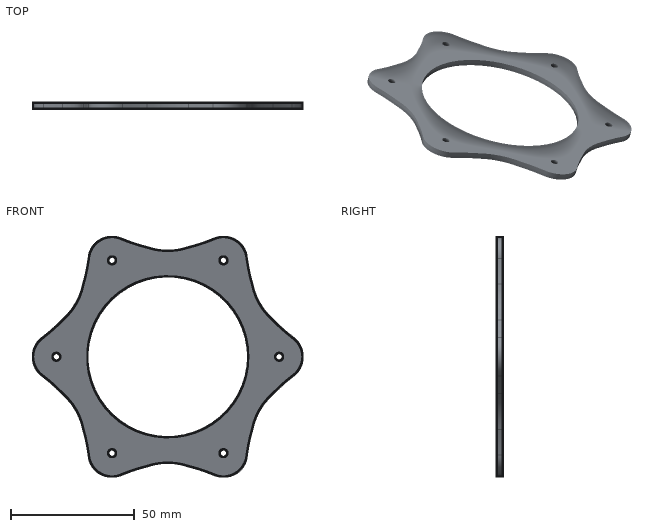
import cadquery as cq
import math

overall_width = 109.0
thickness = 2.5
bore_diameter = 65.0

lobe_count = 6
lobe_radius = 9.5
hole_diameter = 3.0
hole_circle_radius = overall_width / 2 - lobe_radius
lobe_step = 360 / lobe_count

valley_depth_radius = 42.8
valley_half_width = 8.4
valley_end_height = 44.3
flank_sagitta = 0.2
flank_contact_angle = 26.0


def polar(radius, angle):
    """Point at a radius and an angle in degrees from +X."""
    turn = math.radians(angle)
    return (radius * math.cos(turn), radius * math.sin(turn))


def turned(point, angle):
    """Point rotated about the plate centre by an angle in degrees."""
    x, y = point
    return polar(math.hypot(x, y), math.degrees(math.atan2(y, x)) + angle)


lobe_center = polar(hole_circle_radius, lobe_step / 2)
contact_offset = polar(lobe_radius, -flank_contact_angle)
contact = (lobe_center[0] + contact_offset[0], lobe_center[1] + contact_offset[1])
valley_end = (valley_end_height, valley_half_width)


def mirrored(point):
    """Point reflected across the valley axis."""
    return (point[0], -point[1])


def flank_middle():
    """Middle of the flank arc, bowed towards the plate centre."""
    run_x = contact[0] - valley_end[0]
    run_y = contact[1] - valley_end[1]
    bow = flank_sagitta / math.hypot(run_x, run_y)
    return (
        (valley_end[0] + contact[0]) / 2 - bow * run_y,
        (valley_end[1] + contact[1]) / 2 + bow * run_x,
    )


def back_plane():
    """Sketch plane on the +Y face, extruding towards -Y so the plate is centred."""
    return cq.Workplane("XZ", origin=(0, thickness / 2, 0))


def plate_outline():
    """Closed star outline, drawn valley by valley and lobe by lobe."""
    middle = flank_middle()
    first_valley = lobe_step / 2
    outline = back_plane().moveTo(*turned(mirrored(contact), first_valley))
    for i in range(lobe_count):
        axis = first_valley + i * lobe_step
        outline = (
            outline
            .threePointArc(turned(mirrored(middle), axis), turned(mirrored(valley_end), axis))
            .threePointArc(polar(valley_depth_radius, axis), turned(valley_end, axis))
            .threePointArc(turned(middle, axis), turned(contact, axis))
            .threePointArc(
                polar(overall_width / 2, axis + lobe_step / 2),
                turned(mirrored(contact), axis + lobe_step),
            )
        )
    return outline.close()


plate = plate_outline().extrude(thickness)

bore = back_plane().circle(bore_diameter / 2).extrude(thickness)

mounting_holes = (
    back_plane()
    .polarArray(hole_circle_radius, 0, 360, lobe_count)
    .circle(hole_diameter / 2)
    .extrude(thickness)
)

result = plate.cut(bore).cut(mounting_holes)